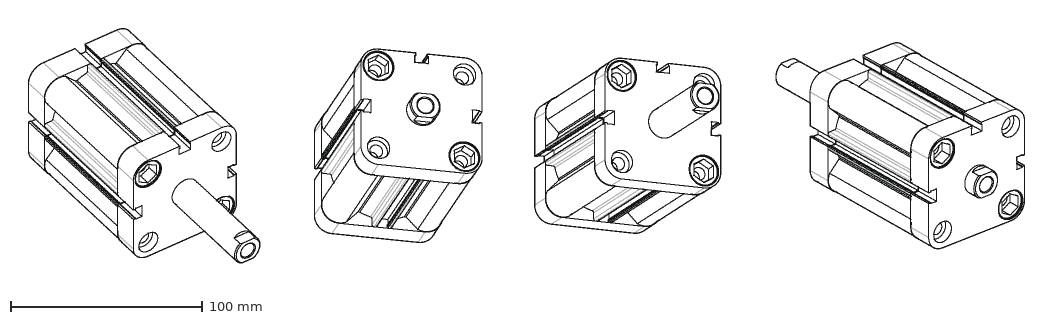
import cadquery as cq
import math

LENGTH = 162.5
SIDE = 65.5
HALF_SIDE = SIDE / 2

CAP_LENGTH = 14.6
ROD_STUB = 8.0
BODY_LENGTH = 96.5
CORNER_RADIUS = 9.5
HOLE_OFFSET = 23.2
BODY_START = -LENGTH / 2 + ROD_STUB
BODY_MIDDLE = BODY_START + BODY_LENGTH / 2
BARREL_START = BODY_START + CAP_LENGTH
BARREL_LENGTH = BODY_LENGTH - 2 * CAP_LENGTH

HOLE_RADIUS = 3.4
COUNTERBORE_RADIUS = 6.0
COUNTERBORE_DEPTH = 4.7
HEX_FLATS = 10.9
HEX_DEPTH = 7.2
RECESS_RADIUS = 8.3
RECESS_DEPTH = 0.5
HEAD_RADIUS = 7.8
GROOVE_DEPTH = 0.8

CAP_SLOT_OPENING = 6.3
CAP_SLOT_WIDTH = 7.3
CAP_SLOT_DEPTH = 5.4
CAP_LIP = 1.5

BARREL_CORNER_RADIUS = 9.3
POCKET_EDGE = 19.3
POCKET_FOOT = 13.0
FLOOR_END = 12.0
RAIL_HALF_WIDTH = 5.4
RAIL_TOP_FILLET = 1.1
RAIL_FOOT_FILLET = 1.05
BARREL_SLOT_OPENING = 5.4
BARREL_SLOT_WIDTH = 6.3
BARREL_SLOT_FLOOR = 27.8
BARREL_LIP = 1.5
SLOT_CHAMFER = 0.5

DIAGONAL = math.sqrt(0.5)

ROD_RADIUS = 8.1
ROD_CHAMFER = 0.6
FLAT_LENGTH = 6.0
FLAT_RUNOUT = 0.5
FLAT_HALF_WIDTH = 6.7
BORE_RADIUS = 4.2
BORE_DEPTH = 19.5
BORE_CHAMFER = 0.5
BORE_TIP_ANGLE = 118.0


def turned(solid, degrees):
    """Turn a solid about the cylinder axis."""
    return solid.rotate((0, 0, 0), (1, 0, 0), degrees)


def t_slot(start, length, opening, width, lip, floor):
    """Cutter for a T-slot along X in the +Z side, open to the outer side."""
    neck = cq.Workplane("XY").box(length, opening, HALF_SIDE - floor, centered=(False, True, False))
    wide = cq.Workplane("XY").box(length, width, HALF_SIDE - lip - floor, centered=(False, True, False))
    return neck.union(wide).translate((start, 0, floor))


def through_holes(start, length):
    """Cutter for the rod hole and the four corner holes."""
    face = cq.Workplane("YZ").workplane(offset=start)
    corners = face.rect(2 * HOLE_OFFSET, 2 * HOLE_OFFSET, forConstruction=True).vertices()
    return face.circle(ROD_RADIUS).extrude(length).union(corners.circle(HOLE_RADIUS).extrude(length))


def screw_head_recess(y, z):
    """Cutter that leaves a sunk screw head: round recess, ring groove and hexagon socket."""
    face = cq.Workplane("YZ", origin=(BODY_START, y, z))
    hex_diameter = HEX_FLATS / math.cos(math.pi / 6)
    recess = face.circle(RECESS_RADIUS).extrude(RECESS_DEPTH)
    groove = face.circle(RECESS_RADIUS).circle(HEAD_RADIUS).extrude(GROOVE_DEPTH)
    socket = face.transformed(rotate=(0, 0, 90)).polygon(6, hex_diameter).extrude(HEX_DEPTH)
    return recess.union(groove).union(socket)


def on_circle(radius, offset):
    """Height of a circle about the axis at the given offset from the middle plane."""
    return math.sqrt(radius ** 2 - offset ** 2)


def quarter_turned(quarter, y, z):
    """Profile point turned clockwise about the axis by a number of quarter turns."""
    for _ in range(quarter):
        y, z = z, -y
    return y, z


def build_cap():
    """End cap at the -X end, outer face at BODY_START."""
    face = cq.Workplane("YZ").workplane(offset=BODY_START)
    cap = face.rect(SIDE, SIDE).extrude(CAP_LENGTH).edges("|X").fillet(CORNER_RADIUS)

    slot = t_slot(BODY_START, CAP_LENGTH, CAP_SLOT_OPENING, CAP_SLOT_WIDTH,
                  CAP_LIP, HALF_SIDE - CAP_SLOT_DEPTH)
    for angle in (-90, 0, 90):
        cap = cap.cut(turned(slot, angle))

    cap = cap.cut(through_holes(BODY_START, CAP_LENGTH))

    plain_corners = [(-HOLE_OFFSET, HOLE_OFFSET), (HOLE_OFFSET, -HOLE_OFFSET)]
    cap = cap.cut(face.pushPoints(plain_corners).circle(COUNTERBORE_RADIUS).extrude(COUNTERBORE_DEPTH))

    for place in (-HOLE_OFFSET, HOLE_OFFSET):
        cap = cap.cut(screw_head_recess(place, place))
    return cap


def build_barrel():
    """Barrel between the caps, with the same profile on all four sides."""
    face = cq.Workplane("YZ").workplane(offset=BARREL_START)

    edge = HOLE_OFFSET + math.sqrt(BARREL_CORNER_RADIUS ** 2 - (HOLE_OFFSET - POCKET_EDGE) ** 2)
    floor = edge - (POCKET_EDGE - POCKET_FOOT)
    wall_radius = math.hypot(FLOOR_END, floor)
    corner_tip = HOLE_OFFSET + BARREL_CORNER_RADIUS * DIAGONAL

    foot_y = RAIL_HALF_WIDTH + RAIL_FOOT_FILLET
    foot_z = on_circle(wall_radius + RAIL_FOOT_FILLET, foot_y)
    foot_share = wall_radius / (wall_radius + RAIL_FOOT_FILLET)
    foot_end = (foot_y * foot_share, foot_z * foot_share)
    foot_middle = (foot_y - RAIL_FOOT_FILLET * DIAGONAL, foot_z - RAIL_FOOT_FILLET * DIAGONAL)
    wall_middle_y = (FLOOR_END + foot_end[0]) / 2
    wall_middle = (wall_middle_y, on_circle(wall_radius, wall_middle_y))

    top_y = RAIL_HALF_WIDTH - RAIL_TOP_FILLET
    top_z = HALF_SIDE - RAIL_TOP_FILLET
    top_middle = (top_y + RAIL_TOP_FILLET * DIAGONAL, top_z + RAIL_TOP_FILLET * DIAGONAL)

    outline = face.moveTo(-POCKET_EDGE, edge)
    for quarter in range(4):
        def right(y, z):
            return quarter_turned(quarter, y, z)

        def left(y, z):
            return quarter_turned(quarter, -y, z)

        outline = (
            outline
            .lineTo(*left(POCKET_FOOT, floor))
            .lineTo(*left(FLOOR_END, floor))
            .threePointArc(left(*wall_middle), left(*foot_end))
            .threePointArc(left(*foot_middle), left(RAIL_HALF_WIDTH, foot_z))
            .lineTo(*left(RAIL_HALF_WIDTH, top_z))
            .threePointArc(left(*top_middle), left(top_y, HALF_SIDE))
            .lineTo(*right(top_y, HALF_SIDE))
            .threePointArc(right(*top_middle), right(RAIL_HALF_WIDTH, top_z))
            .lineTo(*right(RAIL_HALF_WIDTH, foot_z))
            .threePointArc(right(*foot_middle), right(*foot_end))
            .threePointArc(right(*wall_middle), right(FLOOR_END, floor))
            .lineTo(*right(POCKET_FOOT, floor))
            .lineTo(*right(POCKET_EDGE, edge))
            .threePointArc(right(corner_tip, corner_tip), right(edge, POCKET_EDGE))
        )
    barrel = outline.close().extrude(BARREL_LENGTH)

    slot = t_slot(BARREL_START, BARREL_LENGTH, BARREL_SLOT_OPENING, BARREL_SLOT_WIDTH,
                  BARREL_LIP, BARREL_SLOT_FLOOR)
    mouth = BARREL_SLOT_OPENING / 2
    chamfer = (face.moveTo(-mouth - SLOT_CHAMFER, HALF_SIDE)
               .lineTo(mouth + SLOT_CHAMFER, HALF_SIDE)
               .lineTo(mouth, HALF_SIDE - SLOT_CHAMFER)
               .lineTo(-mouth, HALF_SIDE - SLOT_CHAMFER)
               .close().extrude(BARREL_LENGTH))
    slot = slot.union(chamfer)
    for angle in (0, 90, 180, 270):
        barrel = barrel.cut(turned(slot, angle))
    return barrel.cut(through_holes(BARREL_START, BARREL_LENGTH))


def flat_cutter(side):
    """Cutter for the two wrench flats at the rod end on the given side, -1 or +1 along X."""
    end = side * LENGTH / 2
    flat_end = end - side * FLAT_LENGTH
    runout_end = flat_end - side * FLAT_RUNOUT
    upper = (cq.Workplane("XZ")
             .moveTo(end, FLAT_HALF_WIDTH)
             .lineTo(flat_end, FLAT_HALF_WIDTH)
             .lineTo(runout_end, ROD_RADIUS)
             .lineTo(end, ROD_RADIUS)
             .close().extrude(ROD_RADIUS, both=True))
    return upper.union(turned(upper, 180))


def bore_cutter(side):
    """Cutter for the chamfered blind bore, with its conical tip, on the given side."""
    tip_length = BORE_RADIUS / math.tan(math.radians(BORE_TIP_ANGLE / 2))
    end = side * LENGTH / 2
    return (cq.Workplane("XZ")
            .moveTo(end, 0)
            .lineTo(end, BORE_RADIUS + BORE_CHAMFER)
            .lineTo(end - side * BORE_CHAMFER, BORE_RADIUS)
            .lineTo(end - side * BORE_DEPTH, BORE_RADIUS)
            .lineTo(end - side * (BORE_DEPTH + tip_length), 0)
            .close().revolve(360, (0, 0, 0), (1, 0, 0)))


def build_rod():
    """Piston rod through the whole cylinder, both ends alike."""
    rod = cq.Workplane("YZ").workplane(offset=-LENGTH / 2).circle(ROD_RADIUS).extrude(LENGTH)
    rod = rod.faces("<X or >X").chamfer(ROD_CHAMFER)
    for side in (-1, 1):
        rod = rod.cut(flat_cutter(side)).cut(bore_cutter(side))
    return rod


rear_cap = build_cap()
front_cap = rear_cap.rotate((BODY_MIDDLE, 0, 0), (BODY_MIDDLE, 0, 1), 180)
barrel = build_barrel()
rod = build_rod()

result = cq.Compound.makeCompound([rear_cap.val(), front_cap.val(), barrel.val(), rod.val()])